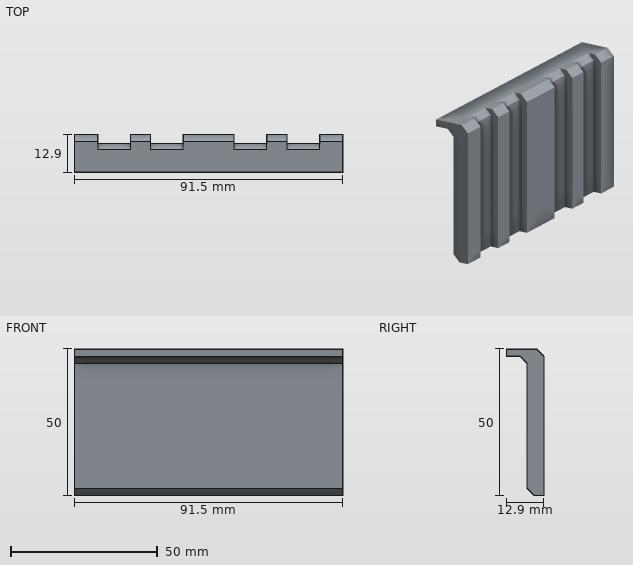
import cadquery as cq

length = 91.5
depth = 12.9
height = 50.0

plate_thickness = 5.9
lip_thickness = 2.5
edge_chamfer = 2.5
lip_gusset = 2.4

notch_depth = 3.0
notch_chamfer = 2.2
notch_width = 11.1
center_tab = 17.4
side_tab = 7.0

plate_front = depth - plate_thickness
lip_bottom = height - lip_thickness
notch_floor = depth - notch_depth


def extrude_along_length(points, width, center_x):
    """Extrude a Y-Z outline along X, centred on center_x."""
    return (
        cq.Workplane("YZ", origin=(center_x - width / 2, 0, 0))
        .polyline(points)
        .close()
        .extrude(width)
    )


def make_body():
    outline = [
        (plate_front + edge_chamfer, 0),
        (depth, 0),
        (depth, height - edge_chamfer),
        (depth - edge_chamfer, height),
        (0, height),
        (0, lip_bottom),
        (plate_front - lip_gusset, lip_bottom),
        (plate_front, lip_bottom - lip_gusset),
        (plate_front, edge_chamfer),
    ]
    return extrude_along_length(outline, length, 0)


def make_notch(center_x):
    """Full-height notch cutter whose floor slopes forward at the top."""
    outline = [
        (notch_floor, 0),
        (depth, 0),
        (depth, height),
        (notch_floor - notch_chamfer, height),
        (notch_floor, height - notch_chamfer),
    ]
    return extrude_along_length(outline, notch_width, center_x)


inner_notch_x = (center_tab + notch_width) / 2
outer_notch_x = inner_notch_x + notch_width + side_tab

body = make_body()
for notch_x in (inner_notch_x, outer_notch_x):
    for side in (-1, 1):
        body = body.cut(make_notch(side * notch_x))

result = body.translate((0, -depth / 2, -height / 2))